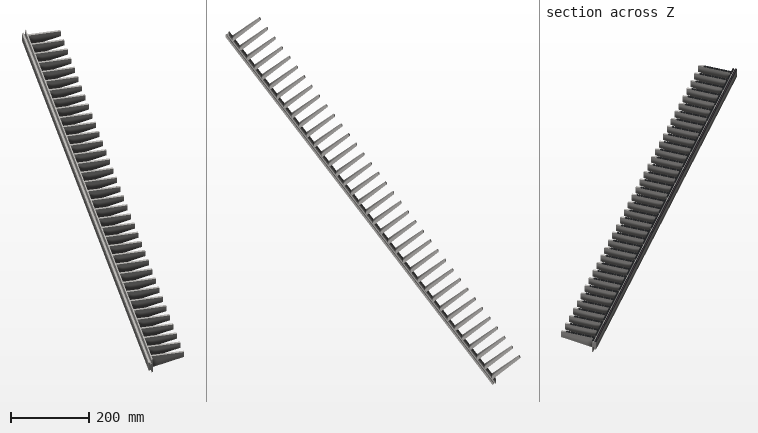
import cadquery as cq

length = 1143.0
depth = 98.0
plate_height = 50.0

bar_thickness = 4.8
bar_setback = 10.0
bar_height = plate_height - 2 * bar_setback
neck_thickness = 3.2
neck_height = 16.0

plate_thickness = 3.0
plate_front = bar_thickness + neck_thickness
plate_back = plate_front + plate_thickness

fin_count = 36
fin_pitch = length / fin_count
fin_thickness = 4.7
fin_root_height = 45.0
fin_tip_height = 20.0


def make_strip(front, thickness, height):
    """Full-length strip, centred in X and Z, with its front face at Y = front."""
    strip = cq.Workplane("XY").box(length, thickness, height, centered=(True, False, True))
    return strip.translate((0, front, 0))


def make_fin(x_center):
    """Thin fin that narrows in height from the plate to its tip."""
    outline = [
        (plate_back, -fin_root_height / 2),
        (depth, -fin_tip_height / 2),
        (depth, fin_tip_height / 2),
        (plate_back, fin_root_height / 2),
    ]
    fin = cq.Workplane("YZ").polyline(outline).close().extrude(fin_thickness / 2, both=True)
    return fin.translate((x_center, 0, 0))


bar = make_strip(0, bar_thickness, bar_height)
neck = make_strip(bar_thickness, neck_thickness, neck_height)
plate = make_strip(plate_front, plate_thickness, plate_height)

result = plate.union(neck).union(bar)
for index in range(fin_count):
    fin_x = (index + 0.5) * fin_pitch - length / 2
    result = result.union(make_fin(fin_x))